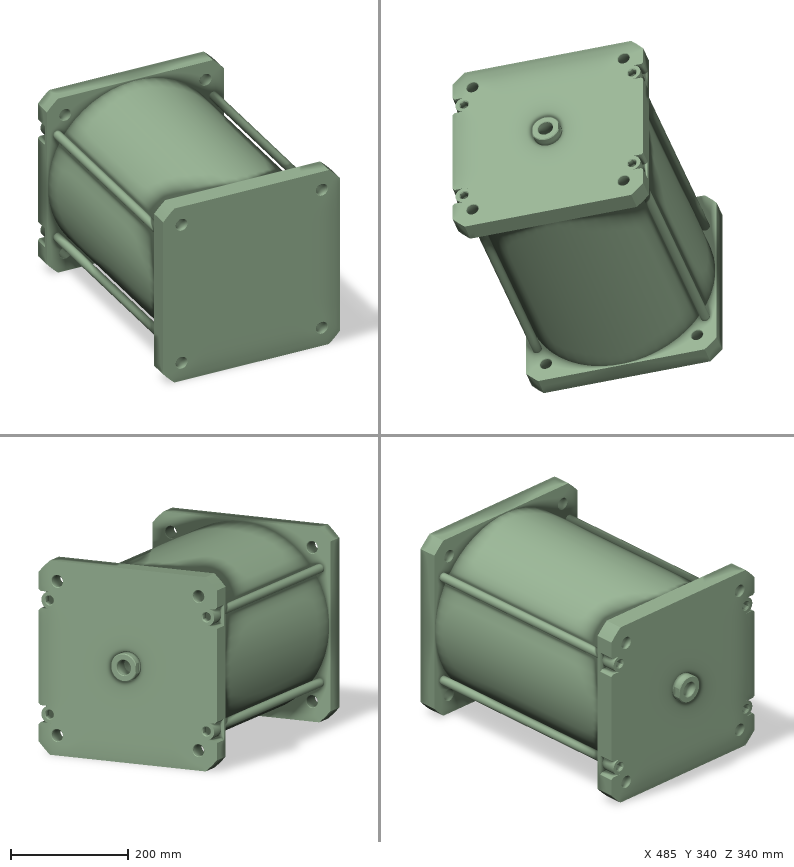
import cadquery as cq
import math

total_length = 485.0
plate_side = 340.0
plate_thickness = 34.0
rod_protrusion = 16.0

front_face_x = rod_protrusion
barrel_start_x = front_face_x + plate_thickness
rear_plate_x = total_length - plate_thickness
barrel_length = rear_plate_x - barrel_start_x

barrel_diameter = 335.0

corner_turning_diameter = 451.5
mounting_hole_diameter = 21.0
mounting_hole_offset = 135.0
hole_chamfer = 1.0

tie_bolt_y = 150.0
tie_bolt_z = 100.0
shank_diameter = 16.0
head_diameter = 30.0
head_length = 27.0
socket_flats = 14.0
socket_corners = socket_flats / math.cos(math.pi / 6)
socket_depth = head_length / 2
socket_countersink_diameter = 18.0
shank_end_depth = plate_thickness / 2
slot_mouth_chamfer = 3.5

rod_diameter = 49.5
rod_length = rod_protrusion + plate_thickness
rod_end_chamfer = 1.5
rod_flats = 46.0
flats_length = 13.5
rod_bore_diameter = 26.5
rod_bore_depth = 29.0
drill_point_angle = 118.0

tie_bolt_points = [(sy * tie_bolt_y, sz * tie_bolt_z) for sy in (-1, 1) for sz in (-1, 1)]


def plane_at(x):
    """Plane across the cylinder axis: local x is Y, local y is Z, extruding toward +X."""
    return cq.Workplane("YZ", origin=(x, 0, 0))


def make_chamfer_cutter(x, mouth_diameter):
    """Cone that bevels a hole's mouth at 45 degrees, narrowing toward +X to a point."""
    mouth_radius = mouth_diameter / 2
    return (
        cq.Workplane("XY", origin=(x, 0, 0))
        .polyline([(0, 0), (0, mouth_radius), (mouth_radius, 0)])
        .close()
        .revolve(360, (0, 0, 0), (1, 0, 0))
    )


def make_mounting_hole(x):
    """Through hole cutter for a plate starting at x, bevelled at both ends."""
    hole = plane_at(x).circle(mounting_hole_diameter / 2).extrude(plate_thickness)
    mouth = make_chamfer_cutter(x, mounting_hole_diameter + 2 * hole_chamfer)
    far_mouth = mouth.mirror("YZ", (x + plate_thickness / 2, 0, 0))
    return hole.union(mouth).union(far_mouth)


def make_plate(x):
    """Square plate with turned corners and four mounting holes."""
    plate = plane_at(x).rect(plate_side, plate_side).extrude(plate_thickness)
    plate = plate.intersect(plane_at(x).circle(corner_turning_diameter / 2).extrude(plate_thickness))
    hole = make_mounting_hole(x)
    for y in (-mounting_hole_offset, mounting_hole_offset):
        for z in (-mounting_hole_offset, mounting_hole_offset):
            plate = plate.cut(hole.translate((0, y, z)))
    return plate


def make_head_slot(y, z):
    """Round-ended slot for a bolt head, open to the plate's side with a bevelled mouth."""
    side = math.copysign(1, y)
    edge_y = side * plate_side / 2
    bevel_y = edge_y - side * slot_mouth_chamfer
    half_width = head_diameter / 2
    half_mouth = half_width + slot_mouth_chamfer
    return (
        plane_at(front_face_x)
        .moveTo(y, z + half_width)
        .lineTo(bevel_y, z + half_width)
        .lineTo(edge_y, z + half_mouth)
        .lineTo(edge_y, z - half_mouth)
        .lineTo(bevel_y, z - half_width)
        .lineTo(y, z - half_width)
        .threePointArc((y - side * half_width, z), (y, z + half_width))
        .close()
        .extrude(head_length)
    )


def make_shank(y, z):
    """Plain shank from under the bolt head into the rear plate."""
    start_x = front_face_x + head_length
    length = rear_plate_x + shank_end_depth - start_x
    return plane_at(start_x).center(y, z).circle(shank_diameter / 2).extrude(length)


def make_front_plate():
    """Plate with the piston rod opening, bolt head slots and shank holes."""
    plate = make_plate(front_face_x)
    plate = plate.cut(plane_at(front_face_x).circle(rod_diameter / 2).extrude(plate_thickness))
    plate = plate.cut(make_chamfer_cutter(front_face_x, rod_diameter + 2 * hole_chamfer))
    for y, z in tie_bolt_points:
        plate = plate.cut(make_head_slot(y, z))
        plate = plate.cut(make_shank(y, z))
    return plate


def make_rear_plate():
    """Plate with blind holes that receive the tie bolt ends."""
    plate = make_plate(rear_plate_x)
    for y, z in tie_bolt_points:
        plate = plate.cut(make_shank(y, z))
    return plate


def make_tie_bolt(y, z):
    """Long socket head bolt with its head flush with the front plate."""
    head = plane_at(front_face_x).center(y, z).circle(head_diameter / 2).extrude(head_length)
    socket = (
        plane_at(front_face_x)
        .center(y, z)
        .transformed(rotate=(0, 0, 90))
        .polygon(6, socket_corners)
        .extrude(socket_depth)
    )
    countersink = make_chamfer_cutter(front_face_x, socket_countersink_diameter).translate((0, y, z))
    return head.union(make_shank(y, z)).cut(socket).cut(countersink)


def make_barrel():
    """Cylinder barrel clamped between the plates."""
    return plane_at(barrel_start_x).circle(barrel_diameter / 2).extrude(barrel_length)


def make_piston_rod():
    """Rod end with two wrench flats and a drilled bore with a conical bottom."""
    rod = plane_at(0).circle(rod_diameter / 2).extrude(rod_length)
    rod = rod.faces("<X").chamfer(rod_end_chamfer)

    flats_envelope = plane_at(0).rect(rod_flats, rod_diameter).extrude(flats_length)
    shaft_envelope = plane_at(flats_length).circle(rod_diameter / 2).extrude(rod_length - flats_length)
    rod = rod.intersect(flats_envelope.union(shaft_envelope))

    bore_radius = rod_bore_diameter / 2
    point_depth = bore_radius / math.tan(math.radians(drill_point_angle / 2))
    bore = (
        cq.Workplane("XY")
        .polyline([
            (0, 0),
            (0, bore_radius),
            (rod_bore_depth, bore_radius),
            (rod_bore_depth + point_depth, 0),
        ])
        .close()
        .revolve(360, (0, 0, 0), (1, 0, 0))
    )
    return rod.cut(bore).cut(make_chamfer_cutter(0, rod_bore_diameter + 2 * hole_chamfer))


front_plate = make_front_plate()
rear_plate = make_rear_plate()
barrel = make_barrel()
piston_rod = make_piston_rod()
tie_bolts = [make_tie_bolt(y, z) for y, z in tie_bolt_points]

result = cq.Compound.makeCompound([
    front_plate.val(),
    rear_plate.val(),
    barrel.val(),
    piston_rod.val(),
    *[bolt.val() for bolt in tie_bolts],
])